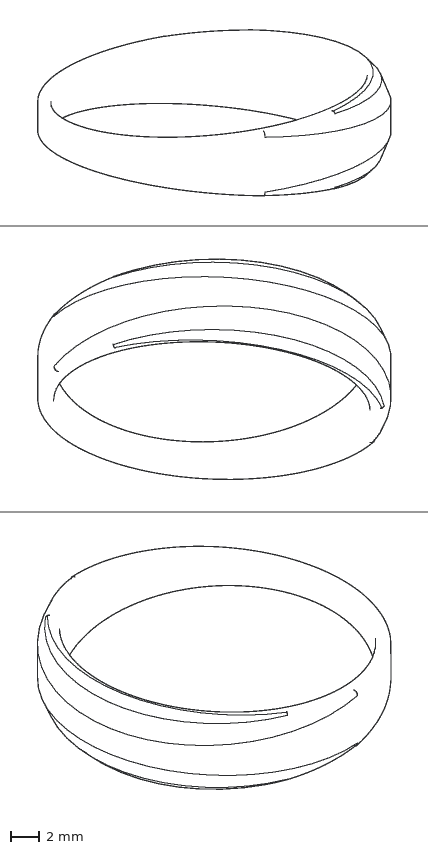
import cadquery as cq
import math

outer_radius = 12.52
hole_radius = 11.2
hole_offset = -0.4
edge_fillet = 0.3
tolerance = 0.003

side_height_middle = 2.38
overall_width = 6.8
crest_height = overall_width / 2
crest_reach = 11.2

band_height_middle = 2.03
band_height_rear = 1.1
bevel_reach = 11.85
bevel_height = 2.73
bevel_overrun = 0.5

side_slope = (crest_height - side_height_middle) / crest_reach


def band_edge_wire():
    """Half-ellipse on Y >= 0 where the flat band ends, falling evenly with Y."""
    rise = band_height_rear - band_height_middle
    arc = cq.Edge.makeEllipse(
        math.hypot(outer_radius, rise),
        outer_radius,
        cq.Vector(0, 0, band_height_middle),
        cq.Vector(0, -rise, outer_radius),
        cq.Vector(0, outer_radius, rise),
        angle1=-90,
        angle2=90,
    )
    chord = cq.Edge.makeLine(arc.endPoint(), arc.startPoint())
    return cq.Wire.assembleEdges([arc, chord])


def level_edge_wire(reach, height):
    """Level half-circle around the hole axis that reaches the given Y."""
    radius = reach - hole_offset
    arc = cq.Edge.makeThreePointArc(
        cq.Vector(radius, hole_offset, height),
        cq.Vector(0, reach, height),
        cq.Vector(-radius, hole_offset, height),
    )
    chord = cq.Edge.makeLine(arc.endPoint(), arc.startPoint())
    return cq.Wire.assembleEdges([arc, chord])


def ruled_layer(lower, upper):
    return cq.Workplane(obj=cq.Solid.makeLoft([lower, upper], True))


def side_wedge(y_start, y_end):
    """Space between the two sloping side faces over a range of Y."""
    z_start = side_height_middle + side_slope * y_start
    z_end = side_height_middle + side_slope * y_end
    return (
        cq.Workplane("YZ")
        .polyline([(y_start, -z_start), (y_end, -z_end), (y_end, z_end), (y_start, z_start)])
        .close()
        .extrude(outer_radius, both=True)
    )


def rear_rims(half):
    """Curved edges where the facets, not the bevels, meet the sloping side faces."""
    bevel_start_y = (bevel_height - side_height_middle) / side_slope

    def on_side_face(edge):
        middle = edge.positionAt(0.5)
        side_height = side_height_middle + side_slope * middle.y
        return tolerance < middle.y < bevel_start_y and abs(abs(middle.z) - side_height) < tolerance

    return [edge for edge in half.edges().vals() if on_side_face(edge)]


def rear_half():
    band_edge = band_edge_wire()
    bevel_edge = level_edge_wire(bevel_reach, bevel_height)
    top_height = crest_height + bevel_overrun
    bevel_run = (bevel_reach - crest_reach) / (crest_height - bevel_height)
    top_reach = crest_reach - bevel_run * bevel_overrun
    top_edge = level_edge_wire(top_reach, top_height)
    band = (
        cq.Workplane("YZ")
        .polyline([(0, -band_height_middle), (outer_radius, -band_height_rear),
                   (outer_radius, band_height_rear), (0, band_height_middle)])
        .close()
        .extrude(outer_radius, both=True)
        .intersect(cq.Workplane("XY").cylinder(overall_width, outer_radius))
    )
    upper = ruled_layer(band_edge, bevel_edge).union(ruled_layer(bevel_edge, top_edge))
    half = band.union(upper).union(upper.mirror("XY")).intersect(side_wedge(0, outer_radius))
    return half.newObject(rear_rims(half)).fillet(edge_fillet)


def front_half():
    cylinder = cq.Workplane("XY").cylinder(overall_width, outer_radius)
    half = cylinder.intersect(side_wedge(-outer_radius, 0))
    rims = half.edges("%ELLIPSE")
    return half.newObject(rims.vals()).fillet(edge_fillet)


def finger_hole():
    return (
        cq.Workplane("XY")
        .center(0, hole_offset)
        .cylinder(2 * overall_width, hole_radius)
    )


def hole_rims(ring):
    """Elliptical edges where the side faces meet the finger hole."""
    def on_hole(edge):
        middle = edge.positionAt(0.5)
        return abs(math.hypot(middle.x, middle.y - hole_offset) - hole_radius) < tolerance

    return [edge for edge in ring.edges("%ELLIPSE").vals() if on_hole(edge)]


ring = rear_half().union(front_half()).cut(finger_hole())
result = ring.newObject(hole_rims(ring)).fillet(edge_fillet)